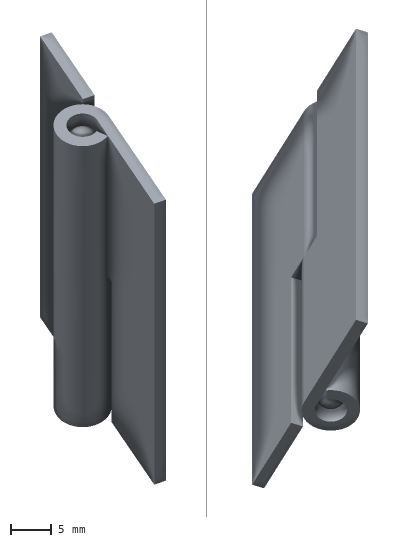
import cadquery as cq
import math

hinge_height = 50.0
half_height = hinge_height / 2
leaf_reach = 16.0
leaf_thickness = 1.6
notch_reach = 4.0

pin_radius = 2.0
pin_recess = 1.0

barrel_inner_radius = pin_radius
barrel_outer_radius = barrel_inner_radius + leaf_thickness

roll_end_gap = 0.03
roll_end_angle = math.asin((barrel_inner_radius - roll_end_gap) / barrel_outer_radius)


def on_circle(radius, angle):
    """Point at an angle on a circle about the origin."""
    return (radius * math.cos(angle), radius * math.sin(angle))


def rolled_strip():
    """Upper half of the right leaf: a strip that rolls around the pin."""
    middle_angle = (math.pi / 2 + roll_end_angle + 2 * math.pi) / 2
    return (
        cq.Workplane("XY")
        .moveTo(leaf_reach, barrel_inner_radius)
        .lineTo(leaf_reach, barrel_outer_radius)
        .lineTo(0, barrel_outer_radius)
        .threePointArc(
            on_circle(barrel_outer_radius, middle_angle),
            on_circle(barrel_outer_radius, roll_end_angle),
        )
        .lineTo(*on_circle(barrel_inner_radius, roll_end_angle))
        .threePointArc(
            on_circle(barrel_inner_radius, middle_angle),
            (0, barrel_inner_radius),
        )
        .close()
        .extrude(half_height)
    )


def flat_strip():
    """Lower half of the right leaf: cut back to clear the other barrel."""
    return (
        cq.Workplane("XY")
        .moveTo(notch_reach, barrel_inner_radius)
        .lineTo(leaf_reach, barrel_inner_radius)
        .lineTo(leaf_reach, barrel_outer_radius)
        .lineTo(notch_reach, barrel_outer_radius)
        .close()
        .extrude(-half_height)
    )


def make_leaf():
    """Right leaf, with its barrel in the upper half of the hinge."""
    return rolled_strip().union(flat_strip(), clean=True)


def make_pin():
    """Round pin with a hemisphere at each end, revolved about the Z axis."""
    tip = half_height - pin_recess
    shoulder = tip - pin_radius
    arc_x, arc_rise = on_circle(pin_radius, math.pi / 4)
    return (
        cq.Workplane("XZ")
        .moveTo(0, -tip)
        .threePointArc((arc_x, -shoulder - arc_rise), (pin_radius, -shoulder))
        .lineTo(pin_radius, shoulder)
        .threePointArc((arc_x, shoulder + arc_rise), (0, tip))
        .close()
        .revolve(360, (0, 0, 0), (0, 1, 0))
    )


right_leaf = make_leaf()
left_leaf = make_leaf().rotate((0, 0, 0), (0, 1, 0), 180)
pin = make_pin()

result = cq.Compound.makeCompound([right_leaf.val(), left_leaf.val(), pin.val()])